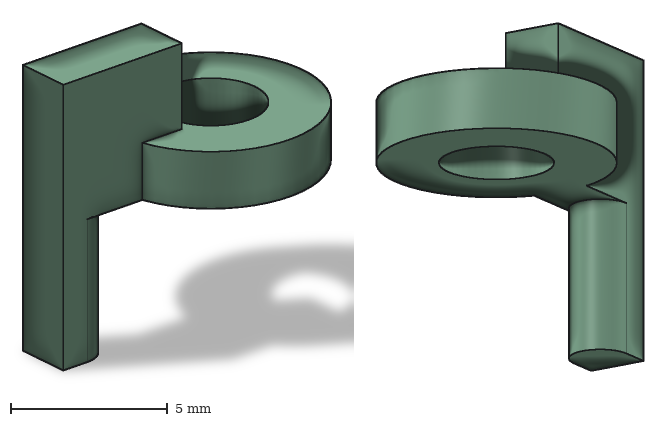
import cadquery as cq

hole_diameter = 3.67
ring_wall = 2.0
ring_height = 2.0
ring_diameter = hole_diameter + 2 * ring_wall

plate_width = 2.0
plate_length = 4.95
plate_height = 5.0
front_y = -7.0
leg_height = 5.0
leg_round_radius = plate_width / 2
leg_flat_depth = 1.0
leg_round_center_y = front_y + leg_flat_depth

leg_bottom_z = -leg_height


def make_ring():
    """Flat ring with a through hole."""
    return (
        cq.Workplane("XY")
        .circle(ring_diameter / 2)
        .circle(hole_diameter / 2)
        .extrude(ring_height)
    )


def make_plate():
    """Upright plate running from the front face onto the ring wall."""
    return (
        cq.Workplane("XY")
        .center(0, front_y + plate_length / 2)
        .rect(plate_width, plate_length)
        .extrude(plate_height)
    )


def make_leg():
    """Leg with a flat front and a half-round back."""
    half_width = plate_width / 2
    return (
        cq.Workplane("XY")
        .workplane(offset=leg_bottom_z)
        .moveTo(-half_width, front_y)
        .lineTo(half_width, front_y)
        .lineTo(half_width, leg_round_center_y)
        .threePointArc(
            (0, leg_round_center_y + leg_round_radius),
            (-half_width, leg_round_center_y),
        )
        .close()
        .extrude(leg_height)
    )


result = make_ring().union(make_plate()).union(make_leg())